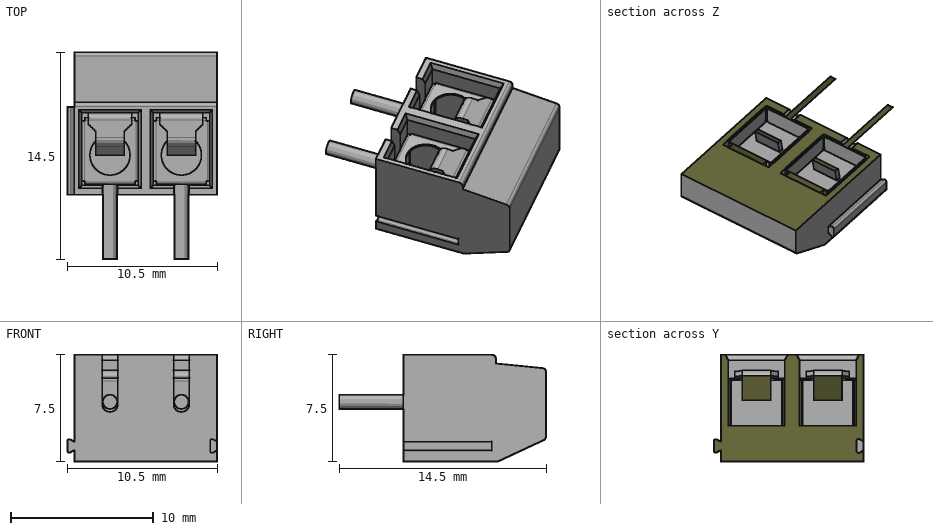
import cadquery as cq
import math


housing_width = 10.0
housing_depth = 10.0
housing_height = 7.5
step_y = 6.5
step_z = 6.89
rear_top_z = 6.54
rear_bottom_z = 1.58
bottom_rear_y = 6.61
edge_radius = 0.29

dovetail_length = 6.18
dovetail_reach = 0.5
dovetail_z = 1.1
dovetail_neck = 0.61
dovetail_head = 1.16
dovetail_radius = 0.15

pole_pitch = 5.0
pole_centres = [housing_width / 2 + side * pole_pitch / 2 for side in (-1, 1)]

pin_diameter = 1.0
pin_length = 4.5
pin_z = 4.19

pocket_width = 3.95
pocket_front_y = 0.68
pocket_rear_y = 5.75
pocket_bevel = 0.2
pocket_bevel_depth = 0.39
slot_width = 1.1
slot_arc_z = 4.03

cage_front_y = 0.75
cage_top_z = 5.86
cage_bottom_z = 2 * pin_z - cage_top_z
cage_sheet = 0.15
cage_bend_radius = 0.17
cage_corner_notch = 0.22
wire_hole_diameter = 2.81
wire_hole_y = 2.8

leaf_sheet = 0.35
leaf_wide = 3.02
leaf_narrow = 2.0
leaf_taper_rear_y = 4.96
leaf_taper_length = 0.51
leaf_rise_angle = 5.5
leaf_dip_angle = 79.0
leaf_flat_length = 1.25
leaf_clearance = 0.09
leaf_front_radius = 0.58
leaf_tip_z = 2.75

cage_rear_y = pocket_rear_y - leaf_sheet
cage_depth = cage_rear_y - cage_front_y
cage_height = cage_top_z - cage_bottom_z
cage_mid_y = (cage_front_y + cage_rear_y) / 2


def dovetail(x):
    """Dovetail bar along Y whose neck lies at x and whose head points to -X."""
    half_neck = dovetail_neck / 2
    half_head = dovetail_head / 2
    return (
        cq.Workplane("XZ", origin=(x, 0, dovetail_z))
        .polyline([
            (0, -half_neck),
            (-dovetail_reach, -half_head),
            (-dovetail_reach, half_head),
            (0, half_neck),
        ])
        .close()
        .extrude(-dovetail_length)
        .edges("|Y and <X")
        .fillet(dovetail_radius)
    )


def housing_body():
    """Side profile extruded across the width, with the step and rear edges rounded."""
    body = (
        cq.Workplane("YZ")
        .polyline([
            (0, 0),
            (bottom_rear_y, 0),
            (housing_depth, rear_bottom_z),
            (housing_depth, rear_top_z),
            (step_y, step_z),
            (step_y, housing_height),
            (0, housing_height),
        ])
        .close()
        .extrude(housing_width)
    )
    body = body.edges("|X and >Y").fillet(edge_radius)
    step_edge = cq.NearestToPointSelector((housing_width / 2, step_y, housing_height))
    return body.edges(step_edge).fillet(edge_radius)


def pocket(x):
    """Rectangular pocket open at the top, with a bevelled mouth."""
    length = pocket_rear_y - pocket_front_y
    middle = (pocket_front_y + pocket_rear_y) / 2
    shaft = (
        cq.Workplane("XY", origin=(x, middle, cage_bottom_z))
        .rect(pocket_width, length)
        .extrude(housing_height - cage_bottom_z)
    )
    mouth = (
        cq.Workplane("XY", origin=(x, middle, housing_height - pocket_bevel_depth))
        .rect(pocket_width, length)
        .workplane(offset=pocket_bevel_depth)
        .rect(pocket_width + 2 * pocket_bevel, length + 2 * pocket_bevel)
        .loft()
    )
    return shaft.union(mouth)


def pin_slot(x):
    """Round-bottomed slot through the front wall, open at the top."""
    half = slot_width / 2
    return (
        cq.Workplane("XZ", origin=(x, 0, 0))
        .moveTo(half, housing_height)
        .lineTo(half, slot_arc_z)
        .threePointArc((0, slot_arc_z - half), (-half, slot_arc_z))
        .lineTo(-half, housing_height)
        .close()
        .extrude(-cage_front_y)
    )


def make_housing():
    body = housing_body()
    body = body.union(dovetail(0))
    body = body.cut(dovetail(housing_width))
    for x in pole_centres:
        body = body.cut(pocket(x))
        body = body.cut(pin_slot(x))
    return body.solids()


def cage(x):
    """Top plate with four flanges bent down, notched at the corners and open below."""
    block = (
        cq.Workplane("XY", origin=(x, cage_mid_y, cage_bottom_z))
        .rect(pocket_width, cage_depth)
        .extrude(cage_height)
    )
    bent_block = block.faces(">Z").edges().fillet(cage_bend_radius)
    corner_notches = (
        cq.Workplane("XY", origin=(x, cage_mid_y, cage_bottom_z))
        .rect(pocket_width - cage_corner_notch, cage_depth - cage_corner_notch, forConstruction=True)
        .vertices()
        .rect(cage_corner_notch, cage_corner_notch)
        .extrude(cage_height)
    )
    inside = (
        cq.Workplane("XY", origin=(x, cage_mid_y, cage_bottom_z))
        .rect(pocket_width - 2 * cage_sheet, cage_depth - 2 * cage_sheet)
        .extrude(cage_height - cage_sheet)
    )
    wire_hole = (
        cq.Workplane("XY", origin=(x, wire_hole_y, cage_bottom_z))
        .circle(wire_hole_diameter / 2)
        .extrude(cage_height)
    )
    return bent_block.cut(corner_notches).cut(inside).cut(wire_hole)


def bend_point(centre, radius, tilt):
    """Point (y, z) on a bend, at a tilt in degrees from straight up towards +Y."""
    angle = math.radians(tilt)
    return (centre[0] + radius * math.sin(angle), centre[1] + radius * math.cos(angle))


def leaf_side(x):
    """Side shape of the leaf, as a solid of the leaf's full width."""
    rise = math.radians(leaf_rise_angle)
    rear_inner = cage_bend_radius
    rear_outer = rear_inner + leaf_sheet
    front_outer = leaf_front_radius
    front_inner = front_outer - leaf_sheet

    rear_centre = (cage_rear_y - cage_bend_radius, cage_top_z - cage_bend_radius + leaf_clearance)
    flat_start = bend_point(rear_centre, rear_outer - front_outer, leaf_rise_angle)
    front_centre = (
        flat_start[0] - leaf_flat_length * math.cos(rise),
        flat_start[1] + leaf_flat_length * math.sin(rise),
    )

    rear_mid_tilt = (90 + leaf_rise_angle) / 2
    front_mid_tilt = (leaf_rise_angle - leaf_dip_angle) / 2
    dip_outer = bend_point(front_centre, front_outer, -leaf_dip_angle)
    dip_inner = bend_point(front_centre, front_inner, -leaf_dip_angle)
    dip_run = 1 / math.tan(math.radians(leaf_dip_angle))
    tip_outer_y = dip_outer[0] - (dip_outer[1] - leaf_tip_z) * dip_run
    tip_inner_y = dip_inner[0] - (dip_inner[1] - leaf_tip_z) * dip_run

    return (
        cq.Workplane("YZ", origin=(x - leaf_wide / 2, 0, 0))
        .moveTo(pocket_rear_y, cage_bottom_z)
        .lineTo(pocket_rear_y, rear_centre[1])
        .threePointArc(
            bend_point(rear_centre, rear_outer, rear_mid_tilt),
            bend_point(rear_centre, rear_outer, leaf_rise_angle),
        )
        .lineTo(*bend_point(front_centre, front_outer, leaf_rise_angle))
        .threePointArc(bend_point(front_centre, front_outer, front_mid_tilt), dip_outer)
        .lineTo(tip_outer_y, leaf_tip_z)
        .lineTo(tip_inner_y, leaf_tip_z)
        .lineTo(*dip_inner)
        .threePointArc(
            bend_point(front_centre, front_inner, front_mid_tilt),
            bend_point(front_centre, front_inner, leaf_rise_angle),
        )
        .lineTo(*bend_point(rear_centre, rear_inner, leaf_rise_angle))
        .threePointArc(
            bend_point(rear_centre, rear_inner, rear_mid_tilt),
            (cage_rear_y, rear_centre[1]),
        )
        .lineTo(cage_rear_y, cage_bottom_z)
        .close()
        .extrude(leaf_wide)
    )


def leaf(x):
    """Leaf trimmed to its plan shape: wide at the rear, tapering to a narrow tongue."""
    half_wide = leaf_wide / 2
    half_narrow = leaf_narrow / 2
    taper_front_y = leaf_taper_rear_y - leaf_taper_length
    plan = (
        cq.Workplane("XY", origin=(x, 0, 0))
        .polyline([
            (half_narrow, 0),
            (half_narrow, taper_front_y),
            (half_wide, leaf_taper_rear_y),
            (half_wide, pocket_rear_y),
            (-half_wide, pocket_rear_y),
            (-half_wide, leaf_taper_rear_y),
            (-half_narrow, taper_front_y),
            (-half_narrow, 0),
        ])
        .close()
        .extrude(housing_height)
    )
    return leaf_side(x).intersect(plan)


def pin(x):
    """Round pin from the cage's front flange out through the slot."""
    return (
        cq.Workplane("XZ", origin=(x, cage_front_y, pin_z))
        .circle(pin_diameter / 2)
        .extrude(cage_front_y + pin_length)
    )


def make_terminal(x):
    """One metal terminal: cage, leaf and pin."""
    return cage(x).union(leaf(x)).union(pin(x)).solids()


housing = make_housing()
terminals = [make_terminal(x).val() for x in pole_centres]

result = cq.Compound.makeCompound([housing.val(), *terminals])